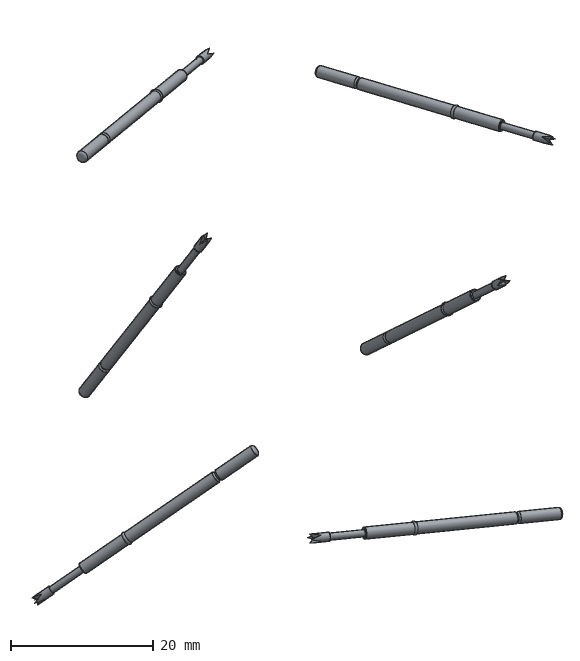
import cadquery as cq
import math

total_length = 38.7
head_length = 2.95
barrel_length = 30.38
collar_front = 22.87
collar_width = 0.45
groove_center = 6.8
groove_width = 0.55
tail_height = 0.35

barrel_radius = 1.75 / 2
collar_radius = 1.0
plunger_radius = 1.05 / 2
head_radius = 0.65
groove_radius = 1.35 / 2
tail_flat_radius = 0.43
tail_mid_radius = 1.45 / 2
tail_mid_height = 0.1
barrel_chamfer = 0.1

point_count = 4
crown_center_depth = 0.6
crown_valley_depth = 1.5


def turned_body():
    """Barrel, collar, plunger and plain head as one revolve about Y."""
    collar_back = collar_front - collar_width
    head_start = total_length - head_length
    profile = (
        cq.Workplane("XY")
        .moveTo(0, 0)
        .lineTo(tail_flat_radius, 0)
        .threePointArc((tail_mid_radius, tail_mid_height), (barrel_radius, tail_height))
        .lineTo(barrel_radius, groove_center - groove_width / 2)
        .lineTo(groove_radius, groove_center)
        .lineTo(barrel_radius, groove_center + groove_width / 2)
        .lineTo(barrel_radius, collar_back)
        .threePointArc((collar_radius, collar_front - collar_width / 2), (barrel_radius, collar_front))
        .lineTo(barrel_radius, barrel_length - barrel_chamfer)
        .lineTo(barrel_radius - barrel_chamfer, barrel_length)
        .lineTo(plunger_radius, barrel_length)
        .lineTo(plunger_radius, head_start)
        .lineTo(head_radius, head_start)
        .lineTo(head_radius, total_length)
        .lineTo(0, total_length)
        .close()
    )
    return profile.revolve(360, (0, 0, 0), (0, 1, 0))


def crown_notch():
    """V prism whose root slopes down from the axis towards +X, leaving a point on each side."""
    root_slope = math.atan2(crown_valley_depth - crown_center_depth, head_radius)
    half_pitch = math.pi / point_count
    point_side = head_radius * math.sin(half_pitch)
    point_outward = head_radius * math.cos(half_pitch)
    point_rise = crown_center_depth * math.cos(root_slope) + point_outward * math.sin(root_slope)

    notch_height = 3 * head_length
    half_width = notch_height * point_side / point_rise
    root_direction = cq.Vector(math.cos(root_slope), -math.sin(root_slope), 0)
    crown_center = cq.Vector(0, total_length - crown_center_depth, 0)
    section = cq.Plane(origin=crown_center, xDir=(0, 0, -1), normal=root_direction)
    return (
        cq.Workplane(section)
        .polyline([(0, 0), (half_width, notch_height), (-half_width, notch_height)])
        .close()
        .extrude(notch_height, both=True)
    )


def cut_crown(body):
    """Cut one notch midway between each pair of neighbouring points."""
    notch = crown_notch()
    pitch = 360 / point_count
    for index in range(point_count):
        angle = (index + 0.5) * pitch
        body = body.cut(notch.rotate((0, 0, 0), (0, 1, 0), angle))
    return body


result = cut_crown(turned_body())